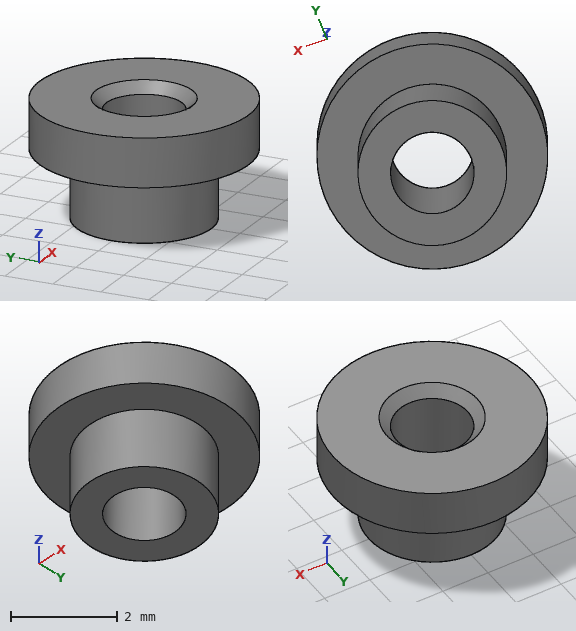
import cadquery as cq

flange_diameter = 4.35
flange_thickness = 1.0
sleeve_diameter = 2.8
total_height = 2.4
bore_diameter = 1.57
countersink_diameter = 2.0
countersink_angle = 90.0

sleeve_length = total_height - flange_thickness

sleeve = cq.Workplane("XY").circle(sleeve_diameter / 2).extrude(sleeve_length)
flange = (
    cq.Workplane("XY")
    .workplane(offset=sleeve_length)
    .circle(flange_diameter / 2)
    .extrude(flange_thickness)
)

result = (
    sleeve.union(flange)
    .faces(">Z")
    .workplane()
    .cskHole(bore_diameter, countersink_diameter, countersink_angle)
)